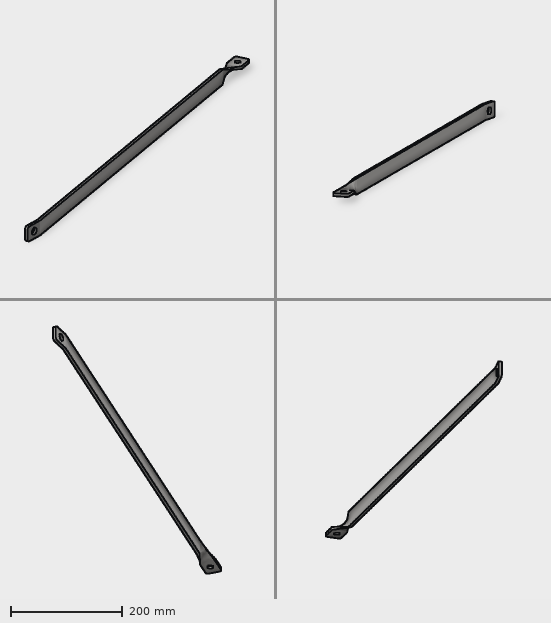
import cadquery as cq
import math

overall_length = 825.0
bar_width = 30.0
thickness = 6.0
slant_angle = 10.8
lower_lug_length = 35.5
bend_radius = 12.0
twist_length = 51.0
upper_lug_length = 33.0
corner_radius = 5.0
hole_end_distance = 20.0
lower_hole_diameter = 13.0
upper_hole_diameter = 11.0

slant = math.radians(slant_angle)
half_width = bar_width / 2
half_thickness = thickness / 2

corner_rise = (half_width - corner_radius) * math.sin(slant) + corner_radius * (1 - math.cos(slant))
slanted_length = (overall_length - lower_lug_length - corner_rise) / math.cos(slant)
lug_start = slanted_length - upper_lug_length
twist_start = lug_start - twist_length
bend_setback = bend_radius * math.tan(slant / 2)


def lug(length, hole_diameter):
    """Flat lug in the XY plane, from y = 0 to its rounded end at y = length."""
    plate = cq.Workplane("XY").box(bar_width, length, thickness).translate((0, length / 2, 0))
    plate = plate.edges("|Z and >Y").fillet(corner_radius)
    hole = cq.Workplane("XY").center(0, length - hole_end_distance)
    hole = hole.circle(hole_diameter / 2).extrude(thickness, both=True)
    return plate.cut(hole)


def along_slant(body):
    """Turn a body built along +Y from the bend point into the slanted direction."""
    return body.rotate((0, 0, 0), (0, 0, 1), slant_angle).translate((0, lower_lug_length, 0))


def twist():
    """Quarter twist whose corner edges are straight lines between its two end sections."""
    corner_signs = [(-1, -1), (-1, 1), (1, 1), (1, -1)]
    strap_end = [
        cq.Vector(side * half_thickness, twist_start, edge * half_width) for side, edge in corner_signs
    ]
    lug_end = [
        cq.Vector(edge * half_width, lug_start, -side * half_thickness) for side, edge in corner_signs
    ]
    faces = [
        cq.Face.makeFromWires(cq.Wire.makePolygon(section, close=True))
        for section in (strap_end, lug_end)
    ]
    for i in range(len(corner_signs)):
        faces.append(
            cq.Face.makeRuledSurface(
                cq.Edge.makeLine(strap_end[i - 1], strap_end[i]),
                cq.Edge.makeLine(lug_end[i - 1], lug_end[i]),
            )
        )
    solid = cq.Solid.makeSolid(cq.Shell.makeShell(faces))
    return cq.Workplane(obj=solid.fix())


def strap():
    """Straight slanted strap, from the end of the bend to the start of the twist."""
    length = twist_start - bend_setback
    body = cq.Workplane("XY").box(thickness, length, bar_width)
    return body.translate((0, bend_setback + length / 2, 0))


def bend():
    """Rounded bend joining the lower lug to the slanted strap."""
    section = cq.Workplane("XZ").rect(thickness, bar_width)
    body = section.revolve(slant_angle, (-bend_radius, -8, 0), (-bend_radius, 8, 0))
    return body.translate((0, lower_lug_length - bend_setback, 0))


lower_lug = lug(lower_lug_length - bend_setback, lower_hole_diameter)
lower_lug = lower_lug.rotate((0, 0, 0), (0, 0, 1), 180).rotate((0, 0, 0), (0, 1, 0), 90)
lower_lug = lower_lug.translate((0, lower_lug_length - bend_setback, 0))
upper_lug = lug(upper_lug_length, upper_hole_diameter).translate((0, lug_start, 0))

result = lower_lug.union(bend())
for piece in (strap(), twist(), upper_lug):
    result = result.union(along_slant(piece))